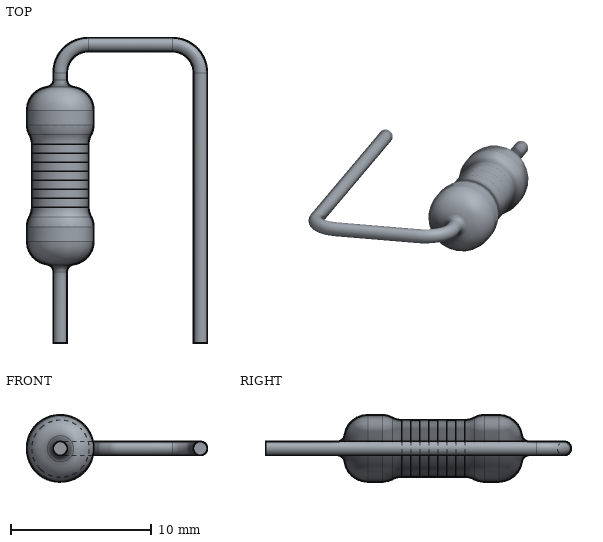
import cadquery as cq
import math


wire_diameter = 1.0
lead_pitch = 10.0
bend_radius = 2.0
overall_length = 21.8
wire_radius = wire_diameter / 2
fold_y = overall_length - wire_radius

body_center_y = 11.95
cap_radius = 4.8 / 2
core_radius = 4.08 / 2
dome_radius = 1.7
dome_start = 4.66
root_fillet = 0.5
shoulder_arc_radius = 1.45

band_radius = 4.1 / 2
band_count = 4
band_width = 0.64
band_step = 2 * band_width
core_length = (band_count - 1) * band_step + band_width


def point_between(start, end, share):
    """Point that divides the line from start to end by the given share."""
    return tuple(a + share * (b - a) for a, b in zip(start, end))


def arc_middle(center, radius, first, second):
    """Middle of the short arc about center between two points on it."""
    dx = (first[0] + second[0]) / 2 - center[0]
    dy = (first[1] + second[1]) / 2 - center[1]
    scale = radius / math.hypot(dx, dy)
    return (center[0] + dx * scale, center[1] + dy * scale)


def make_cap():
    """Swollen end of the body, from the +Y end of the core to the lead root."""
    shoulder_drop = cap_radius - core_radius
    shoulder_length = math.sqrt(shoulder_drop * (4 * shoulder_arc_radius - shoulder_drop))
    core_end = (core_radius, core_length / 2)
    shoulder_start = core_end[1] + shoulder_length
    cap_bottom = (cap_radius, shoulder_start)
    concave_center = (core_radius + shoulder_arc_radius, core_end[1])
    convex_center = (cap_radius - shoulder_arc_radius, shoulder_start)
    inflection = point_between(concave_center, convex_center, 0.5)

    cap_top = (cap_radius, dome_start)
    dome_center = (cap_radius - dome_radius, dome_start)
    center_distance = dome_radius + root_fillet
    root_center_x = wire_radius + root_fillet
    root_rise = math.sqrt(center_distance**2 - (root_center_x - dome_center[0]) ** 2)
    root_center = (root_center_x, dome_start + root_rise)
    dome_end = point_between(dome_center, root_center, dome_radius / center_distance)
    root_end = (wire_radius, root_center[1])

    profile = (
        cq.Workplane("XY")
        .moveTo(0, core_end[1])
        .lineTo(*core_end)
        .threePointArc(arc_middle(concave_center, shoulder_arc_radius, core_end, inflection), inflection)
        .threePointArc(arc_middle(convex_center, shoulder_arc_radius, inflection, cap_bottom), cap_bottom)
        .lineTo(*cap_top)
        .threePointArc(arc_middle(dome_center, dome_radius, cap_top, dome_end), dome_end)
        .threePointArc(arc_middle(root_center, root_fillet, dome_end, root_end), root_end)
        .lineTo(0, root_end[1])
        .close()
    )
    return profile.revolve(360, (0, 0, 0), (0, 1, 0))


def make_disc(radius, width, center_y):
    """Cylinder on the body axis, centred at center_y."""
    plane = cq.Workplane("XZ", origin=(0, center_y + width / 2, 0))
    return plane.circle(radius).extrude(width)


def make_body():
    """Complete body: core, slightly raised colour bands and a cap on either end."""
    body = make_disc(core_radius, core_length, 0)
    for index in range(band_count):
        band_y = (index - (band_count - 1) / 2) * band_step
        body = body.union(make_disc(band_radius, band_width, band_y))
    cap = make_cap()
    body = body.union(cap).union(cap.mirror("XZ"))
    return body.translate((0, body_center_y, 0))


def make_lead():
    """One wire through the body, folded over and brought back parallel to it."""
    arc_offset = bend_radius * (1 - math.sqrt(0.5))
    straight_end_y = fold_y - bend_radius
    path = (
        cq.Workplane("XY")
        .lineTo(0, straight_end_y)
        .threePointArc((arc_offset, fold_y - arc_offset), (bend_radius, fold_y))
        .lineTo(lead_pitch - bend_radius, fold_y)
        .threePointArc((lead_pitch - arc_offset, fold_y - arc_offset), (lead_pitch, straight_end_y))
        .lineTo(lead_pitch, 0)
    )
    return cq.Workplane("XZ").circle(wire_radius).sweep(path)


result = make_body().union(make_lead())